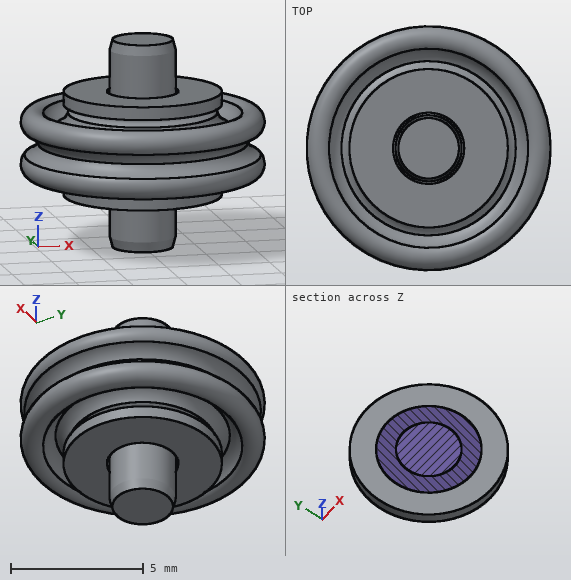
import cadquery as cq
import math

PIN_DIAMETER = 2.5
PIN_LENGTH = 8.0
PIN_TAPER_LENGTH = 0.4
PIN_END_DIAMETER = 2.29

BUSHING_DIAMETER = 4.0
BUSHING_LENGTH = 2.99

WASHER_DIAMETER = 6.0
WASHER_BORE = 2.7
WASHER_THICKNESS = 0.5

WHEEL_DIAMETER = 9.24
WHEEL_WIDTH = 2.63
BEAD_RADIUS = 0.5
GROOVE_BOTTOM_RADIUS = 3.97
VALLEY_RADIUS = 3.3
VALLEY_HEIGHT = 0.665
HOLLOW_RADIUS = 0.8


def hollow_middle(start, end):
    """Middle point of a flank arc that bulges to the right of the direction from start to end."""
    run = end[0] - start[0]
    rise = end[1] - start[1]
    chord = math.hypot(run, rise)
    bulge = HOLLOW_RADIUS - math.sqrt(HOLLOW_RADIUS**2 - (chord / 2)**2)
    return (
        (start[0] + end[0]) / 2 + bulge * rise / chord,
        (start[1] + end[1]) / 2 - bulge * run / chord,
    )


def make_pin():
    half_length = PIN_LENGTH / 2
    shoulder = half_length - PIN_TAPER_LENGTH
    radius = PIN_DIAMETER / 2
    end_radius = PIN_END_DIAMETER / 2
    outline = [
        (0, -half_length),
        (end_radius, -half_length),
        (radius, -shoulder),
        (radius, shoulder),
        (end_radius, half_length),
        (0, half_length),
    ]
    return cq.Workplane("XZ").polyline(outline).close().revolve(360, (0, 0), (0, 1))


def make_ring(diameter, bore, bottom, height):
    return (
        cq.Workplane("XY")
        .workplane(offset=bottom)
        .circle(diameter / 2)
        .circle(bore / 2)
        .extrude(height)
    )


def make_wheel():
    bore_radius = BUSHING_DIAMETER / 2
    top = WHEEL_WIDTH / 2
    bead_x = WHEEL_DIAMETER / 2 - BEAD_RADIUS
    bead_z = top - BEAD_RADIUS
    hub_x = 2 * VALLEY_RADIUS - bead_x

    offset = BEAD_RADIUS * math.sqrt(0.5)
    groove_bottom = (GROOVE_BOTTOM_RADIUS, 0)
    groove_edge = (bead_x + offset, bead_z - offset)
    bead_outer_point = (bead_x + offset, bead_z + offset)
    valley_outer_edge = (bead_x - offset, bead_z + offset)
    valley_bottom = (VALLEY_RADIUS, VALLEY_HEIGHT)
    valley_inner_edge = (hub_x + offset, bead_z + offset)

    middle_angle = math.radians(22.5)
    shoulder_middle = (
        hub_x + BEAD_RADIUS * math.sin(middle_angle),
        bead_z + BEAD_RADIUS * math.cos(middle_angle),
    )

    upper_half = (
        cq.Workplane("XZ")
        .moveTo(bore_radius, 0)
        .lineTo(*groove_bottom)
        .threePointArc(hollow_middle(groove_edge, groove_bottom), groove_edge)
        .threePointArc(bead_outer_point, valley_outer_edge)
        .threePointArc(hollow_middle(valley_bottom, valley_outer_edge), valley_bottom)
        .threePointArc(hollow_middle(valley_inner_edge, valley_bottom), valley_inner_edge)
        .threePointArc(shoulder_middle, (hub_x, top))
        .lineTo(bore_radius, top)
        .close()
        .revolve(360, (0, 0), (0, 1))
    )
    return upper_half.union(upper_half.mirror("XY"))


pin = make_pin()
bushing = make_ring(BUSHING_DIAMETER, PIN_DIAMETER, -BUSHING_LENGTH / 2, BUSHING_LENGTH)
wheel = make_wheel()

washer_bottoms = [BUSHING_LENGTH / 2, -BUSHING_LENGTH / 2 - WASHER_THICKNESS]
washers = [
    make_ring(WASHER_DIAMETER, WASHER_BORE, bottom, WASHER_THICKNESS).val()
    for bottom in washer_bottoms
]

result = cq.Compound.makeCompound([pin.val(), bushing.val(), wheel.val(), *washers])